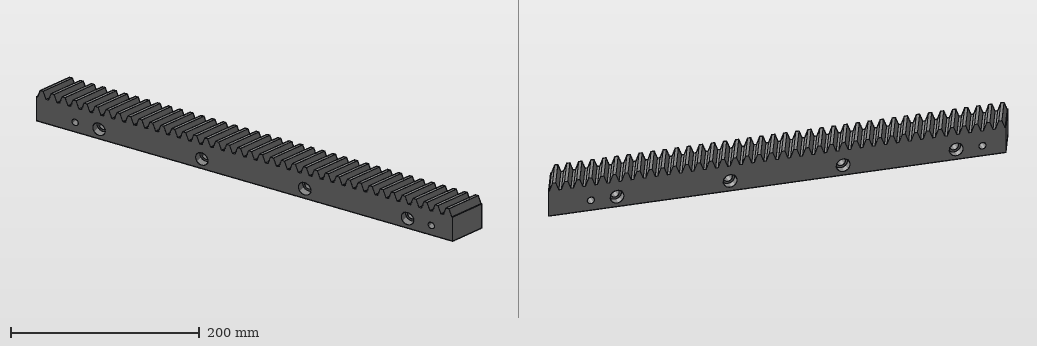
import cadquery as cq
import math

LENGTH_OVERALL = 519.72
WIDTH = 39.0
HEIGHT = 39.0

MODULE = 4.0
TOOTH_COUNT = 38
HELIX_ANGLE = math.radians(19.5283)
NORMAL_PRESSURE_ANGLE = math.radians(20.0)
ADDENDUM = MODULE
DEDENDUM = 1.25 * MODULE

HOLE_HEIGHT = 12.0
SCREW_COUNT = 4
SCREW_PITCH = 125.0
SCREW_DIAMETER = 10.0
COUNTERBORE_DIAMETER = 15.0
COUNTERBORE_DEPTH = 9.0
PIN_SPACING = 433.0
PIN_DIAMETER = 7.7
HOLE_ROW_OFFSET = 10.5

SKEW = WIDTH * math.tan(HELIX_ANGLE)
FACE_LENGTH = LENGTH_OVERALL - SKEW
TOOTH_PITCH = math.pi * MODULE / math.cos(HELIX_ANGLE)
FLANK_SLOPE = math.tan(NORMAL_PRESSURE_ANGLE) / math.cos(HELIX_ANGLE)
HOLE_ROW_CENTRE = FACE_LENGTH / 2 + HOLE_ROW_OFFSET
PITCH_LINE_HEIGHT = HEIGHT - ADDENDUM
ROOT_HEIGHT = PITCH_LINE_HEIGHT - DEDENDUM
HALF_CREST = TOOTH_PITCH / 4 - ADDENDUM * FLANK_SLOPE
HALF_ROOT = TOOTH_PITCH / 4 + DEDENDUM * FLANK_SLOPE


def tooth_outline(centre):
    """Four corners of one tooth, from its left root to its right root."""
    return [
        (centre - HALF_ROOT, ROOT_HEIGHT),
        (centre - HALF_CREST, HEIGHT),
        (centre + HALF_CREST, HEIGHT),
        (centre + HALF_ROOT, ROOT_HEIGHT),
    ]


def rack_body():
    """Toothed outline on the front face (Y = 0), swept back along the helix direction."""
    points = [(0, 0), (0, ROOT_HEIGHT)]
    for index in range(TOOTH_COUNT):
        offset_from_middle = index - (TOOTH_COUNT - 1) / 2
        points += tooth_outline(FACE_LENGTH / 2 + offset_from_middle * TOOTH_PITCH)
    points += [(FACE_LENGTH, ROOT_HEIGHT), (FACE_LENGTH, 0)]

    corners = [cq.Vector(x, 0, z) for x, z in points]
    outline = cq.Wire.makePolygon(corners, close=True)
    face = cq.Face.makeFromWires(outline)
    return cq.Workplane(cq.Solid.extrudeLinear(face, cq.Vector(SKEW, WIDTH, 0)))


def bore(x, diameter, depth):
    """Cylinder running from the front face into the rack."""
    start = cq.Vector(x, 0, HOLE_HEIGHT)
    return cq.Solid.makeCylinder(diameter / 2, depth, start, cq.Vector(0, 1, 0))


def drill_screw_holes(body):
    for index in range(SCREW_COUNT):
        x = HOLE_ROW_CENTRE + (index - (SCREW_COUNT - 1) / 2) * SCREW_PITCH
        body = body.cut(bore(x, SCREW_DIAMETER, WIDTH))
        body = body.cut(bore(x, COUNTERBORE_DIAMETER, COUNTERBORE_DEPTH))
    return body


def drill_pin_holes(body):
    for side in (-1, 1):
        x = HOLE_ROW_CENTRE + side * PIN_SPACING / 2
        body = body.cut(bore(x, PIN_DIAMETER, WIDTH))
    return body


result = drill_pin_holes(drill_screw_holes(rack_body()))